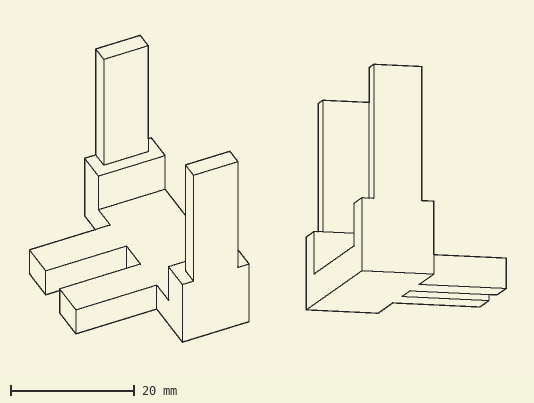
import cadquery as cq

base_length = 36.0
base_depth = 12.0
base_thickness = 5.0

total_depth = 26.5
prong_length = total_depth - base_depth
prong_width = 6.0
prong_gap = 5.1

total_height = 34.0
block_width = 5.1
block_height = 7.0
arm_width = 3.0
arm_depth = 8.0
arm_base_z = base_thickness + block_height
arm_height = total_height - arm_base_z


def box(size_x, size_y, size_z, center_x, center_y, bottom_z):
    """Box centred in X and Y, standing on bottom_z."""
    return (
        cq.Workplane("XY")
        .box(size_x, size_y, size_z, centered=(True, True, False))
        .translate((center_x, center_y, bottom_z))
    )


result = box(base_length, base_depth, base_thickness, 0, 0, 0)

for side in (-1, 1):
    prong_x = side * (prong_gap + prong_width) / 2
    prong_y = -(base_depth + prong_length) / 2
    prong = box(prong_width, prong_length, base_thickness, prong_x, prong_y, 0)

    block_x = side * (base_length - block_width) / 2
    block = box(block_width, base_depth, block_height, block_x, 0, base_thickness)
    arm_x = side * (base_length - arm_width) / 2
    arm = box(arm_width, arm_depth, arm_height, arm_x, 0, arm_base_z)

    result = result.union(prong).union(block).union(arm)